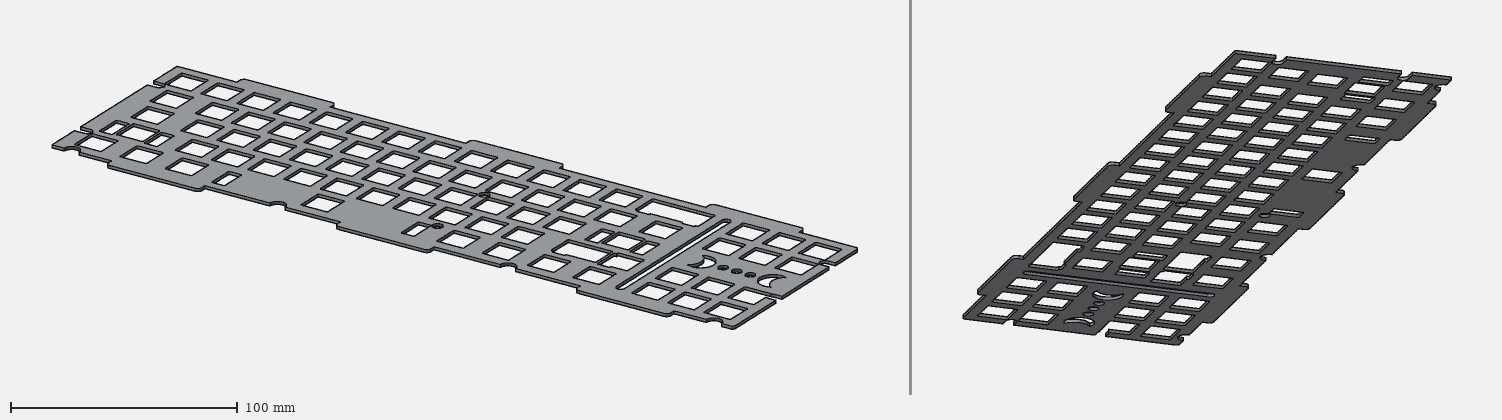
import cadquery as cq

LENGTH = 358.5
BODY_DEPTH = 101.0
OVERALL_DEPTH = 110.5
THICKNESS = 1.5
CORNER_RADIUS = 1.5

TAB_CENTERS = (-123.5, -3.0, 123.5)
TAB_LENGTH = 49.0
TAB_CORNER_RADIUS = 2.0

GRID_LENGTH = 352.5
GRID_UNITS = 18.5
KEY_PITCH = GRID_LENGTH / GRID_UNITS
KEY_HOLE = 14.0
ROW_COUNT = 5
GRID_CENTER_X = 0.1
GRID_CENTER_Y = 0.5
HOLE_CORNER_RADIUS = 0.5

STAB_WIDTH = 6.8
STAB_HEIGHT = 14.0
STAB_DROP = 1.0
STAB_SPACING = 12.0
SPACE_STAB_SPACING = 50.0

NUMPAD_KEYS = [16, 17, 18]
ROW_KEYS = [
    [0.5 + i for i in range(15)] + [14] + NUMPAD_KEYS,
    [0.75] + [2 + i for i in range(12)] + [14.25] + NUMPAD_KEYS,
    [0.875] + [2.25 + i for i in range(11)] + [13.875],
    [1.125] + [2.75 + i for i in range(10)] + [13.125, 13.625, 14.5] + NUMPAD_KEYS,
    [0.625, 1.875, 3.125, 6.875, 10.625, 11.875, 13.125, 14.375] + NUMPAD_KEYS,
]

STABILIZED_KEYS = [
    (0, 14, STAB_SPACING),
    (2, 13.875, STAB_SPACING),
    (3, 1.125, STAB_SPACING),
    (3, 13.625, STAB_SPACING),
    (4, 6.875, SPACE_STAB_SPACING),
]

DIVIDER_UNITS = 15.25
DIVIDER_WIDTH = 4.3
DIVIDER_LENGTH = 89.3

SCREW_DIAMETER = 5.0
SCREW_POSITIONS = [(9.7, 8.5), (10.8, -31.0)]

END_SLOT_WIDTH = 5.0
END_SLOTS = [(-1, 29.0, 7.0), (-1, -29.8, 7.5), (1, 29.0, 6.5), (1, -14.0, 6.5)]

SCALLOP_DIAMETER = 8.0
SCALLOP_CENTERS = (-169.0, -60.5, 60.5, 169.0)

INDICATOR_UNITS = 17
INDICATOR_HOLE_DIAMETER = 4.5
INDICATOR_HOLE_SPACING = 7.0
CRESCENT_TIP_X = 22.0
CRESCENT_HALF_HEIGHT = 6.0
CRESCENT_OUTER_X = 12.2
CRESCENT_INNER_X = 18.5


def key_x(units):
    return GRID_CENTER_X + (units - GRID_UNITS / 2) * KEY_PITCH


def row_y(row):
    return GRID_CENTER_Y + ((ROW_COUNT - 1) / 2 - row) * KEY_PITCH


def cutter(outline):
    """Extrude a closed outline right through the plate."""
    return outline.extrude(THICKNESS, both=True)


def at(x, y):
    return cq.Workplane("XY").center(x, y)


def rounded_hole(x, y, width, height):
    return cutter(at(x, y).rect(width, height)).edges("|Z").fillet(HOLE_CORNER_RADIUS)


def round_hole(x, y, diameter):
    return cutter(at(x, y).circle(diameter / 2))


def plate_blank():
    body = cq.Workplane("XY").box(LENGTH, BODY_DEPTH, THICKNESS)
    body = body.edges("|Z and >X").fillet(CORNER_RADIUS)
    tabs = (
        cq.Workplane("XY")
        .pushPoints([(x, 0) for x in TAB_CENTERS])
        .box(TAB_LENGTH, OVERALL_DEPTH, THICKNESS)
        .edges("|Z")
        .fillet(TAB_CORNER_RADIUS)
    )
    return body.union(tabs)


def key_holes():
    centers = [(key_x(units), row_y(row)) for row, keys in enumerate(ROW_KEYS) for units in keys]
    return [rounded_hole(x, y, KEY_HOLE, KEY_HOLE) for x, y in centers]


def stabilizer_slots():
    slots = []
    for row, units, spacing in STABILIZED_KEYS:
        for side in (-1, 1):
            x = key_x(units) + side * spacing
            slots.append(rounded_hole(x, row_y(row) - STAB_DROP, STAB_WIDTH, STAB_HEIGHT))
    return slots


def end_slots():
    return [
        cutter(at(side * LENGTH / 2, y).slot2D(2 * depth, END_SLOT_WIDTH))
        for side, y, depth in END_SLOTS
    ]


def crescent(side):
    center_x = key_x(INDICATOR_UNITS)
    tip_x = center_x + side * CRESCENT_TIP_X
    upper_tip = (tip_x, GRID_CENTER_Y + CRESCENT_HALF_HEIGHT)
    lower_tip = (tip_x, GRID_CENTER_Y - CRESCENT_HALF_HEIGHT)
    outer_middle = (center_x + side * CRESCENT_OUTER_X, GRID_CENTER_Y)
    inner_middle = (center_x + side * CRESCENT_INNER_X, GRID_CENTER_Y)
    outline = (
        cq.Workplane("XY")
        .moveTo(*upper_tip)
        .threePointArc(outer_middle, lower_tip)
        .threePointArc(inner_middle, upper_tip)
        .close()
    )
    return cutter(outline)


def indicator():
    center_x = key_x(INDICATOR_UNITS)
    holes = [
        round_hole(center_x + i * INDICATOR_HOLE_SPACING, GRID_CENTER_Y, INDICATOR_HOLE_DIAMETER)
        for i in (-1, 0, 1)
    ]
    return holes + [crescent(-1), crescent(1)]


def divider_slot():
    return [cutter(at(key_x(DIVIDER_UNITS), GRID_CENTER_Y).slot2D(DIVIDER_LENGTH, DIVIDER_WIDTH, 90))]


def screw_holes():
    return [round_hole(x, y, SCREW_DIAMETER) for x, y in SCREW_POSITIONS]


def scallops():
    return [round_hole(x, -BODY_DEPTH / 2, SCALLOP_DIAMETER) for x in SCALLOP_CENTERS]


cutters = (
    key_holes() + stabilizer_slots() + end_slots() + indicator() + divider_slot() + screw_holes() + scallops()
)
plate = plate_blank().val().cut(*[tool.val() for tool in cutters])
result = cq.Workplane("XY").newObject(plate.Solids())